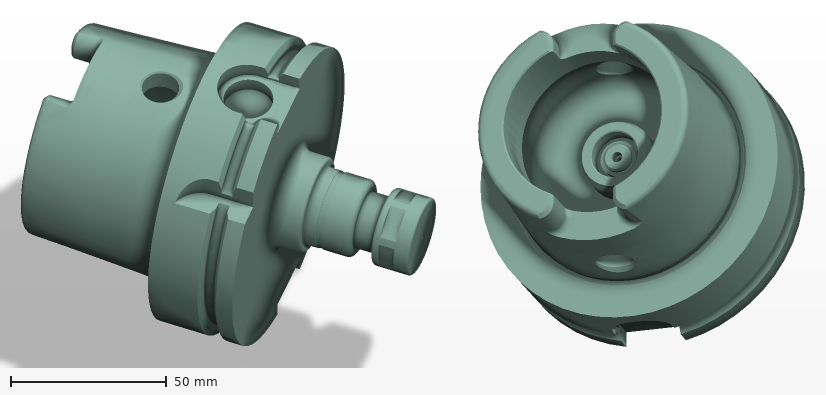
import cadquery as cq
import math


shank_length = 50.0
shank_front_radius = 35.4
shank_back_radius = 37.8
shank_front_fillet = 2.0
relief_start = -2.3
relief_radius = 37.5
relief_taper_length = 0.9
face_relief_depth = 0.5
face_relief_outer_radius = 39.4
face_relief_chamfer = 0.6

flange_radius = 50.0
flange_width = 29.0
groove_mouth_start = 17.0
groove_mouth_end = 23.3
groove_floor_start = 18.05
groove_floor_end = 21.9
groove_floor_radius = 46.0
groove_lip_depth = 2.25

gauge_length = 75.0
collar_radius = 16.0
collar_end = 39.0
collar_root_fillet = 3.0
collar_edge_fillet = 1.0
body_radius = 13.0
body_end = 55.0
body_root_fillet = 1.0
body_edge_fillet = 2.0
ring_groove_start = 43.3
ring_groove_width = 1.9
ring_groove_depth = 0.25
neck_radius = 9.5
nut_radius = 13.0
nut_start = 62.1
nut_back_fillet = 1.2
nut_front_fillet = 0.8
nut_flat_count = 6
nut_flat_start = 64.6
nut_flat_length = 5.4
nut_across_flats = 23.7

bore_radius = 26.5
bore_end = -30.0
bore_floor = -5.2
chamber_radius = 29.8
chamber_floor_fillet = 5.0
clamping_shoulder_angle = 60.0
bore_mouth_chamfer = 0.5
hub_radius = 12.0
hub_tip_radius = 10.85
hub_tip = -15.8
hub_cone_length = 3.2
socket_radius = 15.3 / 2
socket_mouth_radius = 16.0 / 2
socket_depth = 6.0
plug_base_radius = 12.0 / 2
plug_base_height = 1.5
plug_radius = 9.3 / 2
plug_height = 3.0
plug_chamfer = 0.65
coolant_inlet_diameter = 3.5
coolant_inlet_depth = 3.0
coolant_diameter = 1.7

drive_slot_half_width = 10.0
drive_slot_depth_top = 10.0
drive_slot_depth_bottom = 15.0
drive_slot_corner_radius = 5.0
drive_slot_shoulder = 32.2
drive_slot_floor_fillet = 2.0
drive_slot_chamfer = 1.3

clamp_hole_position = -15.0
clamp_hole_diameter = 12.0
clamp_hole_countersink_diameter = 14.0

cutter_radius = 10.0
cutter_center = 15.2
notch_cutter_center = 14.6
flange_slot_floor = 44.0
notch_offset = 31.4
chip_hole_diameter = 16.0
chip_hole_depth = 5.0

clearance = 5.0
half_diagonal = math.sqrt(0.5)


def revolve_about_x(outline):
    """Revolve a closed (x, radius) outline about the X axis."""
    return outline.close().revolve(360, (0, 0, 0), (1, 0, 0))


def cylinder_along_x(radius, start, end):
    return cq.Workplane("YZ", origin=(start, 0, 0)).circle(radius).extrude(end - start)


def convex_fillet(outline, x, radius, size):
    """Round the end of a cylinder whose end face lies at x, going toward +X then inward."""
    return (
        outline.lineTo(x - size, radius)
        .threePointArc(
            (x - size + size * half_diagonal, radius - size + size * half_diagonal),
            (x, radius - size),
        )
    )


def concave_fillet(outline, x, radius, size):
    """Blend from a face at x down onto a cylinder that continues toward +X."""
    return (
        outline.lineTo(x, radius + size)
        .threePointArc(
            (x + size - size * half_diagonal, radius + size - size * half_diagonal),
            (x + size, radius),
        )
    )


def make_shank():
    fillet = shank_front_fillet
    outline = (
        cq.Workplane("XY")
        .moveTo(-shank_length, 0)
        .lineTo(-shank_length, shank_front_radius - fillet)
        .threePointArc(
            (
                -shank_length + fillet - fillet * half_diagonal,
                shank_front_radius - fillet + fillet * half_diagonal,
            ),
            (-shank_length + fillet, shank_front_radius),
        )
        .lineTo(relief_start, shank_back_radius)
        .lineTo(relief_start + relief_taper_length, relief_radius)
        .lineTo(face_relief_depth, relief_radius)
        .lineTo(face_relief_depth, 0)
    )
    return revolve_about_x(outline)


def make_flange():
    lip_radius = flange_radius - groove_lip_depth
    outline = cq.Workplane("XY").polyline([
        (face_relief_depth, 0),
        (face_relief_depth, face_relief_outer_radius - face_relief_chamfer),
        (0, face_relief_outer_radius),
        (0, flange_radius),
        (groove_mouth_start, flange_radius),
        (groove_floor_start, lip_radius),
        (groove_floor_start, groove_floor_radius),
        (groove_floor_end, groove_floor_radius),
        (groove_floor_end, lip_radius),
        (groove_mouth_end, flange_radius),
        (flange_width, flange_radius),
        (flange_width, 0),
    ])
    return revolve_about_x(outline)


def make_nose():
    ring_groove_end = ring_groove_start + ring_groove_width
    ring_groove_radius = body_radius - ring_groove_depth
    outline = cq.Workplane("XY").moveTo(flange_width, 0)
    outline = concave_fillet(outline, flange_width, collar_radius, collar_root_fillet)
    outline = convex_fillet(outline, collar_end, collar_radius, collar_edge_fillet)
    outline = concave_fillet(outline, collar_end, body_radius, body_root_fillet)
    outline = (
        outline.lineTo(ring_groove_start, body_radius)
        .lineTo(ring_groove_start, ring_groove_radius)
        .lineTo(ring_groove_end, ring_groove_radius)
        .lineTo(ring_groove_end, body_radius)
    )
    outline = convex_fillet(outline, body_end, body_radius, body_edge_fillet)
    outline = outline.lineTo(body_end, neck_radius).lineTo(nut_start, neck_radius).lineTo(nut_start, 0)
    return revolve_about_x(outline)


def make_nut():
    nut = cylinder_along_x(nut_radius, nut_start, gauge_length)
    nut = nut.faces("<X").edges().fillet(nut_back_fillet)
    nut = nut.faces(">X").edges().fillet(nut_front_fillet)
    flat_band = cylinder_along_x(nut_radius + clearance, nut_flat_start, nut_flat_start + nut_flat_length)
    hexagon = (
        cq.Workplane("YZ", origin=(nut_flat_start, 0, 0))
        .polygon(nut_flat_count, nut_across_flats, circumscribed=True)
        .extrude(nut_flat_length)
    )
    return nut.cut(flat_band.cut(hexagon))


def make_bore():
    bore = cylinder_along_x(bore_radius, -shank_length, bore_end)
    shoulder_run = (chamber_radius - bore_radius) / math.tan(math.radians(clamping_shoulder_angle))
    fillet = chamber_floor_fillet
    fillet_offset = fillet * (1 - half_diagonal)
    chamber = revolve_about_x(
        cq.Workplane("XY")
        .moveTo(bore_end, 0)
        .lineTo(bore_end, bore_radius)
        .lineTo(bore_end + shoulder_run, chamber_radius)
        .lineTo(bore_floor - fillet, chamber_radius)
        .threePointArc(
            (bore_floor - fillet_offset, chamber_radius - fillet_offset),
            (bore_floor, chamber_radius - fillet),
        )
        .lineTo(bore_floor, 0)
    )
    mouth = revolve_about_x(cq.Workplane("XY").polyline([
        (-shank_length, 0),
        (-shank_length, bore_radius + bore_mouth_chamfer),
        (-shank_length + bore_mouth_chamfer, bore_radius),
        (-shank_length + bore_mouth_chamfer, 0),
    ]))
    return bore.union(chamber).union(mouth)


def make_hub():
    """Central coolant connection that stands on the bore floor."""
    socket_floor = hub_tip + socket_depth
    plug_tip = socket_floor - plug_height
    return revolve_about_x(cq.Workplane("XY").polyline([
        (bore_floor, 0),
        (bore_floor, hub_radius),
        (hub_tip + hub_cone_length, hub_radius),
        (hub_tip, hub_tip_radius),
        (hub_tip, socket_mouth_radius),
        (hub_tip + socket_mouth_radius - socket_radius, socket_radius),
        (socket_floor, socket_radius),
        (socket_floor, plug_base_radius),
        (socket_floor - plug_base_height, plug_base_radius),
        (socket_floor - plug_base_height, plug_radius),
        (plug_tip + plug_chamfer, plug_radius),
        (plug_tip, plug_radius - plug_chamfer),
        (plug_tip, 0),
    ]))


def make_coolant_passage():
    plug_tip = hub_tip + socket_depth - plug_height
    inlet = cylinder_along_x(coolant_inlet_diameter / 2, plug_tip, plug_tip + coolant_inlet_depth)
    passage = cylinder_along_x(coolant_diameter / 2, plug_tip, gauge_length)
    return inlet.union(passage)


def drive_slot_section(x, outset):
    """Slot section that flares over the rounded lug corners, grown all round by outset."""
    half_width = drive_slot_half_width + outset
    corner = drive_slot_corner_radius - outset
    shoulder = drive_slot_shoulder - outset
    arc_start = shoulder - corner
    mid_y = half_width + corner * (1 - half_diagonal)
    mid_z = arc_start + corner * half_diagonal
    outer_y = half_width + corner + clearance
    outer_z = shank_back_radius + clearance
    return (
        cq.Workplane("YZ", origin=(x, 0, 0))
        .moveTo(-half_width, 0)
        .lineTo(-half_width, arc_start)
        .threePointArc((-mid_y, mid_z), (-half_width - corner, shoulder))
        .lineTo(-outer_y, shoulder)
        .lineTo(-outer_y, outer_z)
        .lineTo(outer_y, outer_z)
        .lineTo(outer_y, shoulder)
        .lineTo(half_width + corner, shoulder)
        .threePointArc((mid_y, mid_z), (half_width, arc_start))
        .lineTo(half_width, 0)
        .close()
    )


def make_drive_slot(depth):
    slot = drive_slot_section(-shank_length, 0).extrude(depth)
    slot = slot.faces(">X").edges().fillet(drive_slot_floor_fillet)
    mouth_section = drive_slot_section(-shank_length, drive_slot_chamfer).val()
    inner_section = drive_slot_section(-shank_length + drive_slot_chamfer, 0).val()
    mouth = cq.Workplane(cq.Solid.makeLoft([mouth_section, inner_section], True))
    return slot.union(mouth)


def make_clamp_hole():
    """Radial hole on the +Z side, countersunk on the taper surface."""
    crest = shank_back_radius + (shank_front_radius - shank_back_radius) * (
        (relief_start - clamp_hole_position) / (relief_start + shank_length - shank_front_fillet)
    )
    hole_radius = clamp_hole_diameter / 2
    hole = (
        cq.Workplane("XY", origin=(clamp_hole_position, 0, hub_radius))
        .circle(hole_radius)
        .extrude(shank_back_radius - hub_radius + clearance)
    )
    sink_radius = clamp_hole_countersink_diameter / 2
    sink = cq.Workplane(cq.Solid.makeCone(
        hole_radius,
        sink_radius + clearance,
        sink_radius + clearance - hole_radius,
        pnt=cq.Vector(clamp_hole_position, 0, crest - (sink_radius - hole_radius)),
        dir=cq.Vector(0, 0, 1),
    ))
    return hole.union(sink)


def make_round_ended_slot(center_x, center_y, floor):
    """Milled slot with its floor facing +Z, round at the -X end and open at the nose side."""
    height = flange_radius + clearance - floor
    run = flange_width + clearance - center_x
    plane = cq.Workplane("XY", origin=(center_x, center_y, floor))
    round_end = plane.circle(cutter_radius).extrude(height)
    straight = plane.center(run / 2, 0).rect(run, 2 * cutter_radius).extrude(height)
    return round_end.union(straight)


def turn_half(body):
    return body.rotate((0, 0, 0), (1, 0, 0), 180)


result = make_shank().union(make_flange()).union(make_nose()).union(make_nut())
result = result.cut(make_bore())
result = result.cut(make_drive_slot(drive_slot_depth_top))
result = result.cut(turn_half(make_drive_slot(drive_slot_depth_bottom)))

clamp_hole = make_clamp_hole()
result = result.cut(clamp_hole).cut(turn_half(clamp_hole))
result = result.union(make_hub()).cut(make_coolant_passage())

flange_slot = make_round_ended_slot(cutter_center, 0, flange_slot_floor)
result = result.cut(flange_slot).cut(turn_half(flange_slot))
notch = make_round_ended_slot(notch_cutter_center, -notch_offset - cutter_radius, notch_offset)
result = result.cut(notch)

chip_hole = (
    cq.Workplane("XY", origin=(cutter_center, 0, flange_slot_floor))
    .circle(chip_hole_diameter / 2)
    .extrude(-chip_hole_depth)
)
result = result.cut(chip_hole)